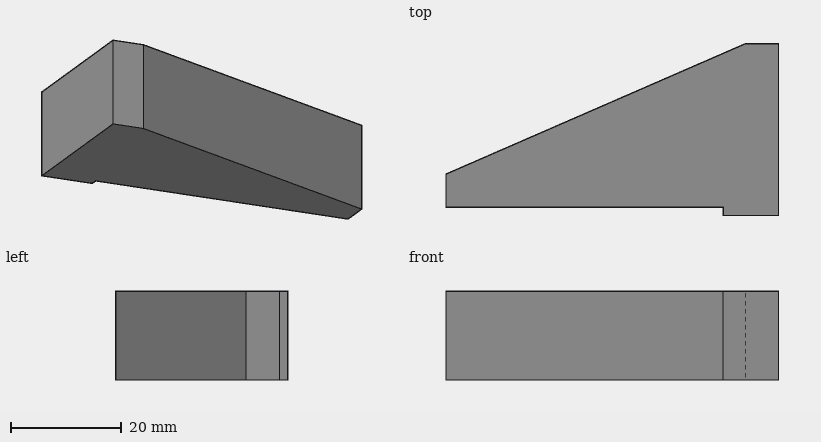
import cadquery as cq

length = 60.0
width = 31.0
thickness = 16.0

foot_length = 10.0
foot_depth = 1.5

narrow_end_height = 6.0
top_flat_length = 6.0

foot_start = length - foot_length
outline = [
    (foot_start, foot_depth),
    (foot_start, 0),
    (length, 0),
    (length, width),
    (length - top_flat_length, width),
    (0, foot_depth + narrow_end_height),
    (0, foot_depth),
]

result = cq.Workplane("XY").polyline(outline).close().extrude(thickness)